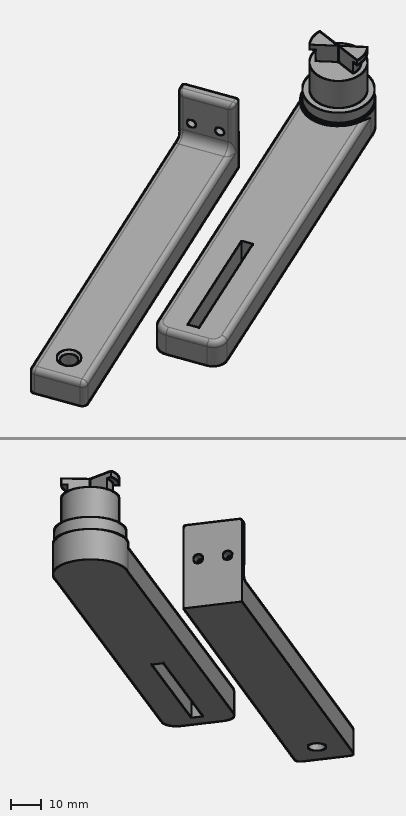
import cadquery as cq
import math

BAR_ANGLE = -56.2
BAR_HEIGHT = 10.2
EDGE_RADIUS = 2.0

ARM_WIDTH = 24.5
PIVOT_DIAMETER = 24.7
PIVOT_SHIFT = 0.5
ARM_LENGTH = 127.8
ARM_CORNER_RADIUS = 5.0
SLOT_WIDTH = 4.0
SLOT_LENGTH = 45.3
SLOT_END_WALL = 5.7
COLLAR_DIAMETER = 23.7
COLLAR_TOP = 15.2
PIVOT_STEP = 0.7
POST_DIAMETER = 19.0
POST_TOP = 26.8
KEY_STEM_RADIUS = 7.5
KEY_FLANGE_HEIGHT = 2.2
KEY_TOP = 33.8
KEY_WING_ANGLE = 46.5
KEY_DIRECTION = 29.8
KEY_WAIST_DIAMETER = 0.3

BRACKET_WIDTH = 20.0
BRACKET_LENGTH = 129.2
BRACKET_START = 29.2
BRACKET_OFFSET = -33.0
BRACKET_BASE_Z = -3.0
BRACKET_TILT = 0.4
PLATE_HEIGHT = 29.7
PLATE_THICKNESS = 4.2
PLATE_CORNER_RADIUS = 1.0
INNER_FILLET = 3.5
PLATE_HOLE_DIAMETER = 3.2
PLATE_HOLE_SPACING = 10.0
PLATE_HOLE_HEIGHT = 17.2
END_HOLE_DIAMETER = 6.0
END_HOLE_CHAMFER = 1.0
END_HOLE_INSET = 10.0


def cylinder(diameter, bottom, top):
    return cq.Workplane("XY").workplane(offset=bottom).circle(diameter / 2).extrude(top - bottom)


def make_arm():
    """Flat slotted arm, square at the pivot and rounded at its free end."""
    half_width = ARM_WIDTH / 2
    arm = (
        cq.Workplane("XY")
        .moveTo(0, -half_width)
        .lineTo(ARM_LENGTH, -half_width)
        .lineTo(ARM_LENGTH, half_width)
        .lineTo(0, half_width)
        .close()
        .extrude(BAR_HEIGHT)
        .edges("|Z and >X")
        .fillet(ARM_CORNER_RADIUS)
    )
    arm = arm.faces(">Z").edges("not <X").fillet(EDGE_RADIUS)
    slot_center = ARM_LENGTH - SLOT_END_WALL - SLOT_LENGTH / 2
    slot = (
        cq.Workplane("XY")
        .center(slot_center, 0)
        .rect(SLOT_LENGTH, SLOT_WIDTH)
        .extrude(BAR_HEIGHT)
    )
    return arm.cut(slot)


def make_boss():
    """Stack of the round pivot end, the collar and the post."""
    pivot_top = BAR_HEIGHT + PIVOT_STEP
    pivot = cylinder(PIVOT_DIAMETER, 0, pivot_top).translate((PIVOT_SHIFT, 0, 0))
    collar = cylinder(COLLAR_DIAMETER, pivot_top, COLLAR_TOP)
    post = cylinder(POST_DIAMETER, COLLAR_TOP, POST_TOP)
    return pivot.union(collar).union(post)


def make_wing(radius, direction, bottom, top):
    """Circular sector with its tip on the boss axis."""
    def rim(angle):
        radians = math.radians(angle)
        return radius * math.cos(radians), radius * math.sin(radians)

    half = KEY_WING_ANGLE / 2
    return (
        cq.Workplane("XY")
        .workplane(offset=bottom)
        .lineTo(*rim(direction - half))
        .threePointArc(rim(direction), rim(direction + half))
        .close()
        .extrude(top - bottom)
    )


def make_key():
    """Two opposite wings, each a stem under a wider flange."""
    key = cylinder(KEY_WAIST_DIAMETER, POST_TOP, KEY_TOP)
    flange_bottom = KEY_TOP - KEY_FLANGE_HEIGHT
    first_direction = KEY_DIRECTION - BAR_ANGLE
    for direction in (first_direction, first_direction + 180):
        key = key.union(make_wing(KEY_STEM_RADIUS, direction, POST_TOP, flange_bottom))
        key = key.union(make_wing(POST_DIAMETER / 2, direction, flange_bottom, KEY_TOP))
    return key


def make_crank():
    crank = make_arm().union(make_boss()).union(make_key())
    return crank.rotate((0, 0, 0), (0, 0, 1), BAR_ANGLE)


def make_bracket_blank():
    """L-shaped blank with rounded free edges and a filleted inner corner."""
    blank = (
        cq.Workplane("XZ")
        .polyline([
            (0, 0),
            (BRACKET_LENGTH, 0),
            (BRACKET_LENGTH, BAR_HEIGHT),
            (PLATE_THICKNESS, BAR_HEIGHT),
            (PLATE_THICKNESS, PLATE_HEIGHT),
            (0, PLATE_HEIGHT),
        ])
        .close()
        .extrude(BRACKET_WIDTH / 2, both=True)
    )
    blank = blank.edges("|Z and >X").fillet(EDGE_RADIUS)
    blank = blank.edges("|X and >Z").fillet(PLATE_CORNER_RADIUS)
    rim_points = [
        (BRACKET_LENGTH / 2, BRACKET_WIDTH / 2, BAR_HEIGHT),
        (BRACKET_LENGTH / 2, -BRACKET_WIDTH / 2, BAR_HEIGHT),
        (PLATE_THICKNESS, 0, PLATE_HEIGHT),
    ]
    rim = [
        blank.edges(cq.selectors.NearestToPointSelector(point)).val()
        for point in rim_points
    ]
    blank = blank.newObject(rim).fillet(EDGE_RADIUS)
    inner_corner = cq.selectors.NearestToPointSelector((PLATE_THICKNESS, 0, BAR_HEIGHT))
    return blank.edges(inner_corner).fillet(INNER_FILLET)


def make_bracket():
    bracket = make_bracket_blank()
    plate_holes = (
        cq.Workplane("YZ")
        .pushPoints([(side * PLATE_HOLE_SPACING / 2, PLATE_HOLE_HEIGHT) for side in (-1, 1)])
        .circle(PLATE_HOLE_DIAMETER / 2)
        .extrude(PLATE_THICKNESS)
    )
    end_hole_x = BRACKET_LENGTH - END_HOLE_INSET
    end_hole = cylinder(END_HOLE_DIAMETER, 0, BAR_HEIGHT)
    countersink = (
        cq.Workplane("XY")
        .workplane(offset=BAR_HEIGHT)
        .circle(END_HOLE_DIAMETER / 2 + END_HOLE_CHAMFER)
        .workplane(offset=-END_HOLE_CHAMFER)
        .circle(END_HOLE_DIAMETER / 2)
        .loft()
    )
    end_hole = end_hole.union(countersink)
    bracket = bracket.cut(plate_holes).cut(end_hole.translate((end_hole_x, 0, 0)))
    return (
        bracket.rotate((0, 0, 0), (0, 1, 0), BRACKET_TILT)
        .translate((BRACKET_START, BRACKET_OFFSET, BRACKET_BASE_Z))
        .rotate((0, 0, 0), (0, 0, 1), BAR_ANGLE)
    )


crank = make_crank()
bracket = make_bracket()
result = cq.Compound.makeCompound([crank.val(), bracket.val()])